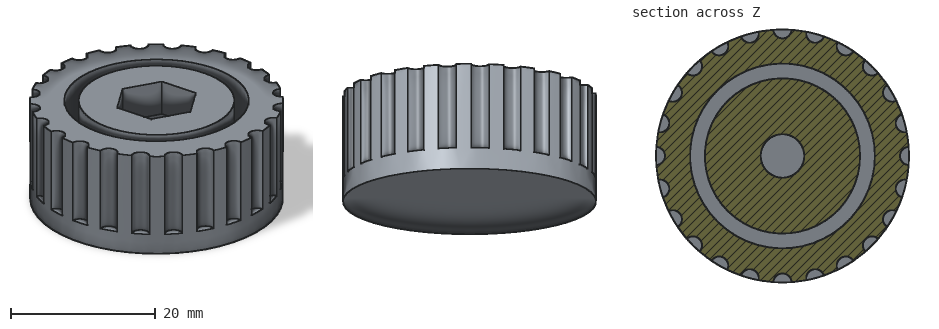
import cadquery as cq

knob_diameter = 35.0
knob_height = 15.0

flute_count = 24
flute_diameter = 2.5
plain_band_height = 3.0

floor_thickness = plain_band_height

groove_outer_diameter = 25.5
groove_inner_diameter = 21.5

hex_across_flats = 10.22
hex_depth = 5.0
bolt_hole_diameter = 6.0


def cylinder(diameter, bottom, top):
    return cq.Workplane("XY").workplane(offset=bottom).circle(diameter / 2).extrude(top - bottom)


def grip_flutes():
    return (
        cq.Workplane("XY")
        .workplane(offset=plain_band_height)
        .polarArray(knob_diameter / 2, 0, 360, flute_count)
        .circle(flute_diameter / 2)
        .extrude(knob_height - plain_band_height)
    )


def ring_groove():
    outer = cylinder(groove_outer_diameter, floor_thickness, knob_height)
    return outer.cut(cylinder(groove_inner_diameter, floor_thickness, knob_height))


def hex_pocket():
    return (
        cq.Workplane("XY")
        .workplane(offset=knob_height - hex_depth)
        .polygon(6, hex_across_flats, circumscribed=True)
        .extrude(hex_depth)
    )


result = (
    cylinder(knob_diameter, 0, knob_height)
    .cut(grip_flutes())
    .cut(ring_groove())
    .cut(hex_pocket())
    .cut(cylinder(bolt_hole_diameter, floor_thickness, knob_height))
)